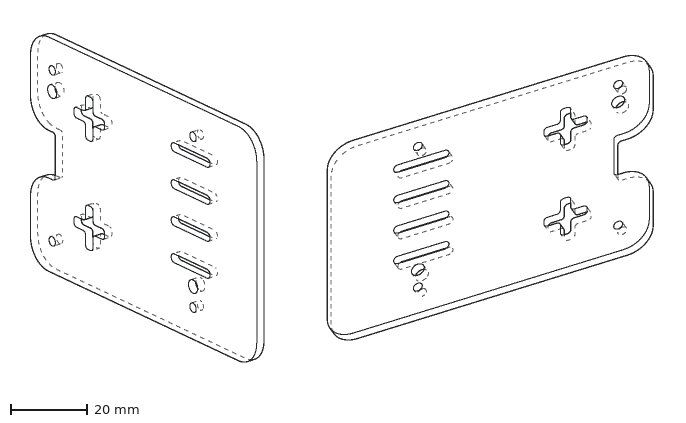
import cadquery as cq

PLATE_LENGTH = 93.25
PLATE_HEIGHT = 66.5
PLATE_THICKNESS = 2.5
CORNER_RADIUS = 7.5

NOTCH_DEPTH = 10.25
NOTCH_HEIGHT = 13.5
NOTCH_INNER_RADIUS = 1.0

MOUNT_DIAMETER = 2.6
MOUNT_LEFT_X = 9.0
MOUNT_PITCH_X = 58.0
MOUNT_EDGE_Z = 9.0
MOUNT_RIGHT_X = MOUNT_LEFT_X + MOUNT_PITCH_X

LARGE_DIAMETER = 3.75
LARGE_OFFSET_Z = 6.0

CROSS_X = 24.25
CROSS_PITCH_Z = 31.0
CROSS_SPAN = 12.5
CROSS_ARM_WIDTH = 3.0
CROSS_FILLET_RADIUS = 1.0

SLOT_COUNT = 4
SLOT_LENGTH = 16.0
SLOT_WIDTH = 2.5
SLOT_CENTER_X = 66.0
SLOT_LOWEST_Z = 20.5
SLOT_PITCH_Z = 10.5

MIDDLE_Z = PLATE_HEIGHT / 2


def block(length, height, center_x, center_z):
    """Rectangular block through the plate thickness."""
    return (
        cq.Workplane("XZ")
        .center(center_x, center_z)
        .rect(length, height)
        .extrude(-PLATE_THICKNESS)
    )


def make_plate():
    """Rounded plate with the notch cut into its left edge."""
    plate = block(PLATE_LENGTH, PLATE_HEIGHT, PLATE_LENGTH / 2, MIDDLE_Z)
    plate = plate.cut(block(NOTCH_DEPTH, NOTCH_HEIGHT, NOTCH_DEPTH / 2, MIDDLE_Z))
    plate = plate.faces("<X or >X").edges("|Y").fillet(CORNER_RADIUS)
    notch_corners = cq.selectors.BoxSelector(
        (NOTCH_DEPTH - NOTCH_INNER_RADIUS, 0, MIDDLE_Z - NOTCH_HEIGHT),
        (NOTCH_DEPTH + NOTCH_INNER_RADIUS, PLATE_THICKNESS, MIDDLE_Z + NOTCH_HEIGHT),
    )
    return plate.edges("|Y").edges(notch_corners).fillet(NOTCH_INNER_RADIUS)


def make_holes(diameter, centers):
    """Cylinders that cut round holes through the plate."""
    return (
        cq.Workplane("XZ")
        .pushPoints(centers)
        .circle(diameter / 2)
        .extrude(-PLATE_THICKNESS)
    )


def make_cross(center_z):
    """Cross with the same fillet on the arm ends and where the arms meet."""
    upright = block(CROSS_ARM_WIDTH, CROSS_SPAN, CROSS_X, center_z)
    side_arms = block(CROSS_SPAN, CROSS_ARM_WIDTH, CROSS_X, center_z)
    return upright.union(side_arms).edges("|Y").fillet(CROSS_FILLET_RADIUS)


def make_slots():
    """Evenly spaced column of round-ended slots."""
    centers = [(SLOT_CENTER_X, SLOT_LOWEST_Z + row * SLOT_PITCH_Z) for row in range(SLOT_COUNT)]
    return (
        cq.Workplane("XZ")
        .pushPoints(centers)
        .slot2D(SLOT_LENGTH, SLOT_WIDTH)
        .extrude(-PLATE_THICKNESS)
    )


mount_top_z = PLATE_HEIGHT - MOUNT_EDGE_Z
mount_centers = [
    (x, z)
    for x in (MOUNT_LEFT_X, MOUNT_RIGHT_X)
    for z in (MOUNT_EDGE_Z, mount_top_z)
]
large_centers = [
    (MOUNT_LEFT_X, mount_top_z - LARGE_OFFSET_Z),
    (MOUNT_RIGHT_X, MOUNT_EDGE_Z + LARGE_OFFSET_Z),
]

result = make_plate()
result = result.cut(make_holes(MOUNT_DIAMETER, mount_centers))
result = result.cut(make_holes(LARGE_DIAMETER, large_centers))
for side in (-1, 1):
    result = result.cut(make_cross(MIDDLE_Z + side * CROSS_PITCH_Z / 2))
result = result.cut(make_slots())